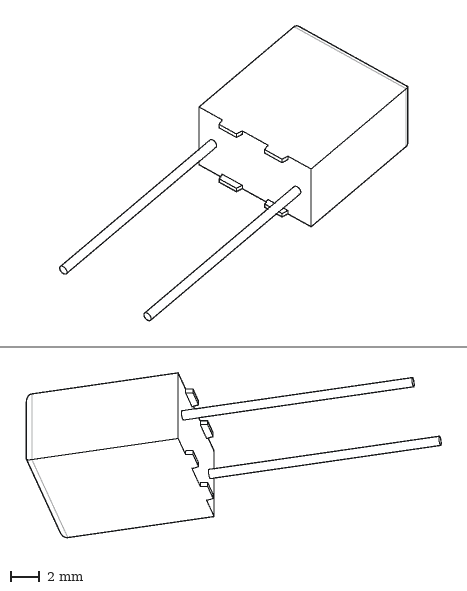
import cadquery as cq


overall_length = 27.5

housing_width = 10.0
housing_length = 11.0
housing_height = 5.5
back_edge_radius = 0.52

tab_root_width = 1.8
tab_tip_width = 1.55
tab_projection = 0.5
tab_thickness = 0.33
tab_spacing = 4.07

lead_diameter = 0.65
lead_spacing = 7.5
lead_length = overall_length - housing_length


def make_tab(center_x, bottom_z):
    """Trapezoidal tab that narrows away from the lead face."""
    half_root = tab_root_width / 2
    half_tip = tab_tip_width / 2
    return (
        cq.Workplane("XY", origin=(center_x, 0, bottom_z))
        .moveTo(-half_root, 0)
        .lineTo(-half_tip, -tab_projection)
        .lineTo(half_tip, -tab_projection)
        .lineTo(half_root, 0)
        .close()
        .extrude(tab_thickness)
    )


def make_housing():
    """Box with a rounded back face and two tabs along each long edge of the lead face."""
    box = cq.Workplane("XY").box(
        housing_width, housing_length, housing_height, centered=(True, False, True)
    )
    body = box.faces(">Y").edges().fillet(back_edge_radius)
    lower_tab_z = -housing_height / 2
    upper_tab_z = housing_height / 2 - tab_thickness
    for center_x in (-tab_spacing / 2, tab_spacing / 2):
        for bottom_z in (lower_tab_z, upper_tab_z):
            body = body.union(make_tab(center_x, bottom_z))
    return body


def make_lead(center_x):
    """Round wire that starts on the lead face and runs toward -Y."""
    return cq.Workplane("XZ").center(center_x, 0).circle(lead_diameter / 2).extrude(lead_length)


housing = make_housing()
leads = [make_lead(center_x) for center_x in (-lead_spacing / 2, lead_spacing / 2)]

result = cq.Compound.makeCompound([housing.val(), *[lead.val() for lead in leads]])